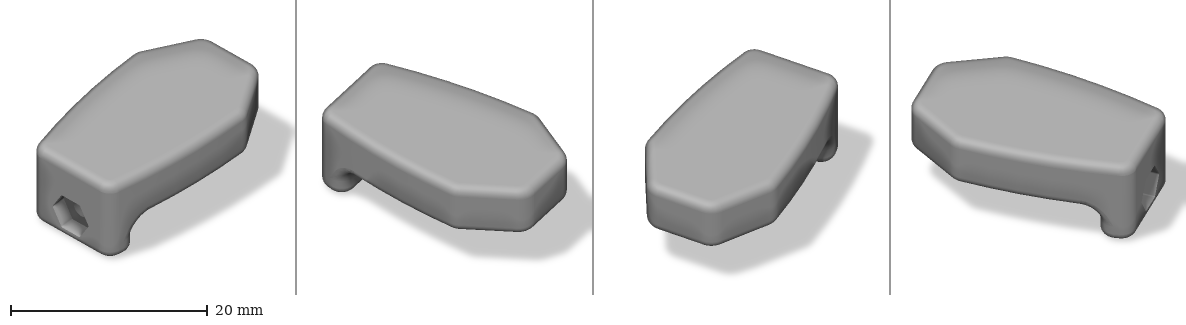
import cadquery as cq
import math

length = 25.0
width = 15.0
height = 9.8
plate_thickness = 5.8
leg_thickness = 3.75

front_width = 10.35
back_width = 7.5
flank_angle = math.radians(60)
back_corner_radius = 2.0
front_corner_radius = 1.6

junction_radius = 2.0
edge_radius = 1.0

hole_diameter = 2.15
hole_height = 3.3
hole_depth = 10.0
nut_across_flats = 4.25
nut_depth = 1.7
seat_radius = 0.2

underside = height - plate_thickness
shoulder_y = length - (width - back_width) / 2 * math.tan(flank_angle)

side_inset = (width - front_width) / 2
side_radius = (shoulder_y**2 + side_inset**2) / (2 * side_inset)
side_center_x = width / 2 - side_radius

leg_corner_y = leg_thickness - front_corner_radius
leg_corner_tilt = math.asin((shoulder_y - leg_corner_y) / (side_radius - front_corner_radius))
leg_corner_x = side_center_x + (side_radius - front_corner_radius) * math.cos(leg_corner_tilt)


def side_x(y):
    """Half width between the curved long sides at a given y."""
    return side_center_x + math.sqrt(side_radius**2 - (shoulder_y - y) ** 2)


def extrude_plan(z, thickness):
    """Prism with the full plan outline, its upright edges rounded."""
    middle_y = shoulder_y / 2
    middle_x = side_x(middle_y)
    prism = (
        cq.Workplane("XY", origin=(0, 0, z))
        .moveTo(-front_width / 2, 0)
        .lineTo(front_width / 2, 0)
        .threePointArc((middle_x, middle_y), (width / 2, shoulder_y))
        .lineTo(back_width / 2, length)
        .lineTo(-back_width / 2, length)
        .lineTo(-width / 2, shoulder_y)
        .threePointArc((-middle_x, middle_y), (-front_width / 2, 0))
        .close()
        .extrude(thickness)
    )
    prism = prism.edges("|Z and (not <Y)").fillet(back_corner_radius)
    return prism.edges("|Z and <Y").fillet(front_corner_radius)


def make_leg():
    """Front leg below the plate, with all four upright edges rounded."""
    middle_y = leg_thickness / 2
    middle_x = side_x(middle_y)
    back_x = side_x(leg_thickness)
    return (
        cq.Workplane("XY")
        .moveTo(-front_width / 2, 0)
        .lineTo(front_width / 2, 0)
        .threePointArc((middle_x, middle_y), (back_x, leg_thickness))
        .lineTo(-back_x, leg_thickness)
        .threePointArc((-middle_x, middle_y), (-front_width / 2, 0))
        .close()
        .extrude(underside)
        .edges("|Z")
        .fillet(front_corner_radius)
    )


def flare_profile():
    """Concave flare section: first coordinate runs outwards from the leg corner axis, second is z."""
    outer = front_corner_radius + junction_radius
    diagonal = junction_radius * math.sqrt(0.5)
    return (
        cq.Workplane("YZ")
        .moveTo(0, underside - junction_radius)
        .lineTo(front_corner_radius, underside - junction_radius)
        .threePointArc((outer - diagonal, underside - junction_radius + diagonal), (outer, underside))
        .lineTo(0, underside)
        .close()
    )


def make_flare():
    """Concave rounding between the leg and the plate, running around the leg's back corners."""
    corner_turn = 90 + math.degrees(leg_corner_tilt)
    corner = (
        flare_profile()
        .revolve(corner_turn, (0, 0, 0), (0, -1, 0))
        .translate((leg_corner_x, leg_corner_y, 0))
    )
    straight = flare_profile().extrude(leg_corner_x, both=True).translate((0, leg_corner_y, 0))
    flare = straight.union(corner).union(corner.mirror("YZ"))
    return flare.intersect(extrude_plan(0, height))


def cut_screw_seat(body):
    """Hole along Y through the leg, grooving the plate, with a rounded hexagonal nut pocket."""
    front = cq.Workplane("XZ", origin=(0, 0, hole_height))
    nut_across_corners = nut_across_flats / math.cos(math.radians(30))
    nut_pocket = front.polygon(6, nut_across_corners).extrude(-nut_depth).edges("|Y").fillet(seat_radius)
    hole = front.circle(hole_diameter / 2).extrude(-hole_depth)
    body = body.cut(hole).cut(nut_pocket)

    groove_end = (0, hole_depth, underside)
    return body.edges(cq.selectors.NearestToPointSelector(groove_end)).fillet(seat_radius)


body = extrude_plan(underside, plate_thickness).union(make_leg()).union(make_flare()).clean()
body = body.faces(">Z").edges().fillet(edge_radius)
body = body.faces("<Z").edges().fillet(edge_radius)

body = body.edges(cq.selectors.NearestToPointSelector((0, length, underside))).fillet(edge_radius)

result = cut_screw_seat(body)